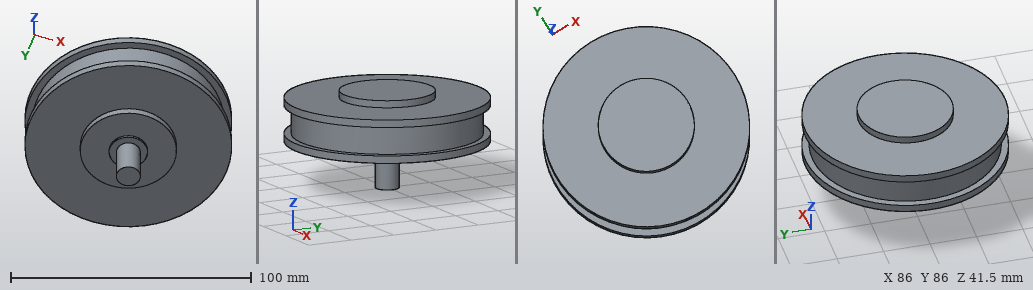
import cadquery as cq

flange_diameter = 86.0
rim_diameter = 80.0
hub_diameter = 40.0
collar_diameter = 16.0
shaft_diameter = 10.0

shaft_length = 16.0
collar_height = 1.0
hub_height = 3.0
flange_thickness = 3.2
rim_width = 12.1

stack = [
    (shaft_diameter, shaft_length),
    (collar_diameter, collar_height),
    (hub_diameter, hub_height),
    (flange_diameter, flange_thickness),
    (rim_diameter, rim_width),
    (flange_diameter, flange_thickness),
    (hub_diameter, hub_height),
]


def stepped_profile(discs):
    """Half section in the XZ plane, closed along the wheel axis, base at Z = 0."""
    points = [(0, 0)]
    z = 0
    for diameter, height in discs:
        radius = diameter / 2
        points.append((radius, z))
        z += height
        points.append((radius, z))
    points.append((0, z))
    return cq.Workplane("XZ").polyline(points).close()


result = stepped_profile(stack).revolve(360, (0, 0, 0), (0, 1, 0))